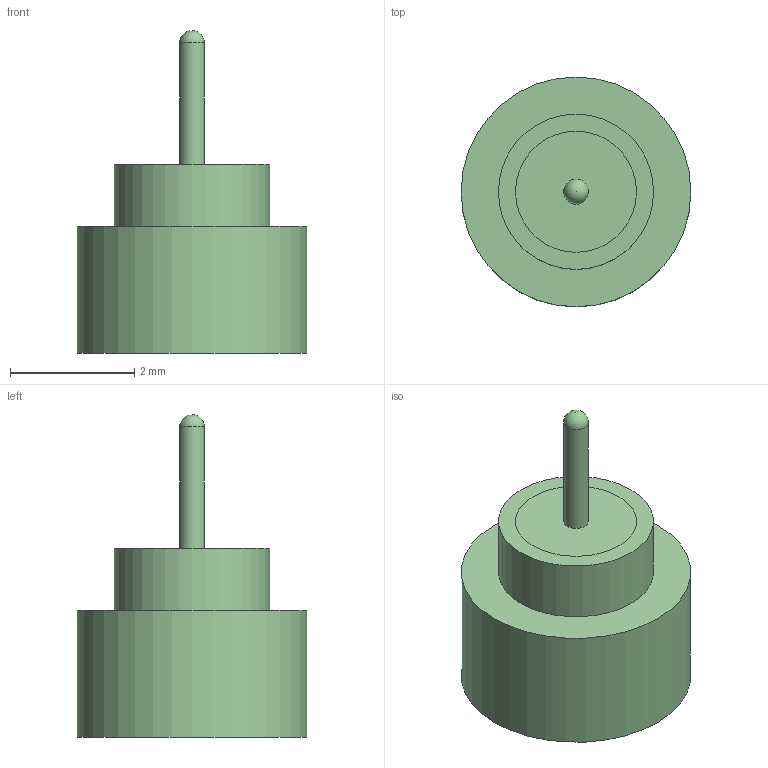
import cadquery as cq

BODY_DIAMETER = 3.7
BODY_HEIGHT = 2.05
COLLAR_DIAMETER = 2.5
COLLAR_HEIGHT = 1.0
CORE_DIAMETER = 1.95
PIN_DIAMETER = 0.4
OVERALL_HEIGHT = 5.2

COLLAR_TOP = BODY_HEIGHT + COLLAR_HEIGHT
PIN_RADIUS = PIN_DIAMETER / 2
PIN_LENGTH = OVERALL_HEIGHT - COLLAR_TOP


def cylinder(diameter, bottom, height):
    """Upright cylinder centred on the Z axis."""
    return cq.Workplane("XY").workplane(offset=bottom).circle(diameter / 2).extrude(height)


def make_shell():
    """Stepped body and collar, with the bore that the core fills."""
    body = cylinder(BODY_DIAMETER, 0, BODY_HEIGHT)
    collar = cylinder(COLLAR_DIAMETER, BODY_HEIGHT, COLLAR_HEIGHT)
    bore = cylinder(CORE_DIAMETER, BODY_HEIGHT, COLLAR_HEIGHT)
    return body.union(collar).cut(bore)


def make_core():
    """Core disc that ends flush with the top of the collar."""
    return cylinder(CORE_DIAMETER, BODY_HEIGHT, COLLAR_HEIGHT)


def make_pin():
    """Straight pin with a hemispherical tip."""
    pin = cylinder(PIN_DIAMETER, COLLAR_TOP, PIN_LENGTH - PIN_RADIUS)
    tip = cq.Workplane("XY").sphere(PIN_RADIUS).translate((0, 0, OVERALL_HEIGHT - PIN_RADIUS))
    return pin.union(tip)


result = make_shell().union(make_core(), clean=False).union(make_pin(), clean=False)